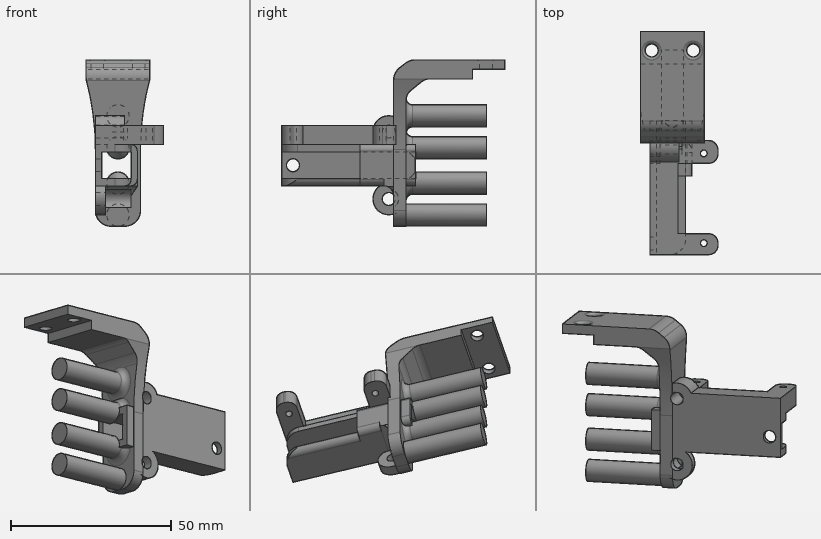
import cadquery as cq
import math


plate_width = 20.0
total_length = 69.7
total_height = 52.0
plate_thickness = 6.0
lip_thickness = 3.0
lip_length = 10.1
wall_front = 34.9
wall_thickness = 4.0
wall_width = 14.15
wall_corner_radius = 5.0
taper_bottom = 24.05
outer_bend_run = 5.0
outer_bend_drop = 4.0
inner_bend_run = 5.85
inner_bend_drop = 4.75
inner_bend_radius = 4.0
outer_bend_radius = 5.0
screw_spacing = 12.95
screw_inset = 5.9
screw_diameter = 4.0
screw_edge_radius = 1.0

wall_back = wall_front + wall_thickness
plate_bottom = total_height - plate_thickness
center_x = plate_width / 2
wall_left = center_x - wall_width / 2
wall_right = center_x + wall_width / 2

pin_radius = 3.5
pin_end = 63.95
pin_fillet = 2.0
pin_tip_base = 41.9
plain_pin_height = 3.55
top_pin_height = 34.5
middle_pin_heights = (13.5, 24.5)

housing_bottom = 12.7
housing_top = 31.55
housing_left = 3.0
housing_right = 14.15
slab_right = 11.8
side_thickness = 2.0
flange_thickness = 2.3
socket_height = 12.8
flange_corner_radius = 5.0
edge_radius = 2.0
collar_front = 24.5
collar_back = 41.7
collar_right = 16.0
collar_rise = 0.1
root_fillet = 3.0
root_end_rise = 2.8

socket_top = housing_bottom + socket_height
collar_top = socket_top + collar_rise
window_left = housing_left + side_thickness
window_bottom = housing_bottom + flange_thickness
window_height = socket_height - 2 * flange_thickness
window_center = housing_bottom + socket_height / 2

arm_right = 24.25
front_arm = (0, 6.6)
rear_arm = (28.5, 35.7)
arm_corner_radius = 3.0
arm_hole_diameter = 2.0
arm_hole_x = 19.8
arm_hole_ys = (3.6, 31.6)

ear_y = 33.45
ear_radius = 4.95
ear_spacing = 21.05
lower_ear_width = 3.15
upper_ear_width = 9.0
cross_hole_diameter = 4.0
upper_hole_depth = 10.0
bore_radius = 3.1
front_hole_y = 3.55

lower_ear_z = window_center - ear_spacing / 2
upper_ear_z = window_center + ear_spacing / 2


def box(x_range, y_range, z_range):
    """Axis-aligned box between the given limits."""
    x, y, z = x_range[0], y_range[0], z_range[0]
    size = (x_range[1] - x, y_range[1] - y, z_range[1] - z)
    return cq.Workplane("XY").box(*size, centered=False).translate((x, y, z))


def cross_cylinder(y, z, radius, x_start, x_end):
    """Cylinder along X."""
    plane = cq.Workplane("YZ", origin=(x_start, 0, 0))
    return plane.center(y, z).circle(radius).extrude(x_end - x_start)


def mounting_bracket():
    """Stepped plate bent down into a wall whose sides curve in towards its rounded foot."""
    lip_front = total_length - lip_length
    outer_corners = [
        (wall_front, total_height - outer_bend_drop),
        (wall_front + outer_bend_run, total_height),
    ]
    inner_corners = [
        (wall_back + inner_bend_run, plate_bottom),
        (wall_back, plate_bottom - inner_bend_drop),
    ]
    side = (
        cq.Workplane("YZ")
        .moveTo(wall_front, 0)
        .lineTo(*outer_corners[0])
        .lineTo(*outer_corners[1])
        .lineTo(total_length, total_height)
        .lineTo(total_length, total_height - lip_thickness)
        .lineTo(lip_front, total_height - lip_thickness)
        .lineTo(lip_front, plate_bottom)
        .lineTo(*inner_corners[0])
        .lineTo(*inner_corners[1])
        .lineTo(wall_back, 0)
        .close()
        .extrude(plate_width)
    )
    for corners, radius in ((outer_corners, outer_bend_radius), (inner_corners, inner_bend_radius)):
        for y, z in corners:
            bend_edge = cq.NearestToPointSelector((center_x, y, z))
            side = side.edges("|X").edges(bend_edge).fillet(radius)

    taper_height = plate_bottom - taper_bottom
    taper_radius = (taper_height**2 + wall_left**2) / (2 * wall_left)
    middle_rise = taper_height / 2
    middle_inset = taper_radius - math.sqrt(taper_radius**2 - middle_rise**2)
    taper_middle = taper_bottom + middle_rise
    front = (
        cq.Workplane("XZ")
        .moveTo(wall_left, 0)
        .lineTo(wall_left, taper_bottom)
        .threePointArc((wall_left - middle_inset, taper_middle), (0, plate_bottom))
        .lineTo(0, total_height)
        .lineTo(plate_width, total_height)
        .lineTo(plate_width, plate_bottom)
        .threePointArc((wall_right + middle_inset, taper_middle), (wall_right, taper_bottom))
        .lineTo(wall_right, 0)
        .close()
        .extrude(-total_length)
        .edges("|Y and <Z")
        .fillet(wall_corner_radius)
    )
    bracket = side.intersect(front)

    drilled = (
        bracket.faces(">Z")
        .workplane(origin=(center_x, total_length - screw_inset, total_height))
        .pushPoints([(-screw_spacing / 2, 0), (screw_spacing / 2, 0)])
        .hole(screw_diameter)
    )
    return drilled.faces(">Z").edges("%CIRCLE").fillet(screw_edge_radius)


def pin(z, base_fillet):
    """Round pin along Y; a base fillet of zero leaves the root sharp."""
    wall_middle = wall_front + wall_thickness / 2
    profile = cq.Workplane("XY").moveTo(0, wall_middle)
    if base_fillet:
        outer = pin_radius + base_fillet
        bulge = base_fillet * (1 - math.sqrt(0.5))
        profile = (
            profile.lineTo(outer, wall_middle)
            .lineTo(outer, wall_back)
            .threePointArc(
                (pin_radius + bulge, wall_back + bulge),
                (pin_radius, wall_back + base_fillet),
            )
        )
    else:
        profile = profile.lineTo(pin_radius, wall_middle)
    profile = profile.lineTo(pin_radius, pin_end).lineTo(0, pin_end).close()
    return profile.revolve(360, (0, 0, 0), (0, 1, 0)).translate((center_x, 0, z))


def housing():
    """Channel-shaped housing with a thick roof, two flanges and a closed collar at the wall."""
    block = box((housing_left, housing_right), (0, wall_back), (housing_bottom, socket_top))
    round_front = block.edges("|Z and >X and <Y").fillet(flange_corner_radius)
    round_below = block.edges("|Y and >X and <Z").fillet(edge_radius)
    socket = round_front.intersect(round_below)
    roof = box((housing_left, slab_right), (0, wall_back), (socket_top, housing_top))
    collar = box((housing_left, collar_right), (collar_front, collar_back), (housing_bottom, collar_top))
    collar = collar.edges("|Y and >X").fillet(edge_radius)
    return socket.union(roof).union(collar)


def arm(y_range):
    """Arm reaching to +X with a rounded end."""
    body = box((housing_left, arm_right), y_range, (socket_top, housing_top))
    return body.edges("|Z and >X").fillet(arm_corner_radius)


def root():
    """Concave fillet under the housing where it meets the wall, sloping up at its right end."""
    bend = root_fillet * (1 - math.sqrt(0.5))
    foot = housing_bottom - root_fillet
    wedge = (
        cq.Workplane("YZ", origin=(housing_left, 0, 0))
        .moveTo(wall_front - root_fillet, housing_bottom)
        .threePointArc((wall_front - bend, housing_bottom - bend), (wall_front, foot))
        .lineTo(wall_back, foot)
        .lineTo(wall_back, housing_bottom + edge_radius)
        .lineTo(wall_front - root_fillet, housing_bottom + edge_radius)
        .close()
        .extrude(collar_right - housing_left)
    )
    outline = (
        cq.Workplane("XZ", origin=(0, wall_front - root_fillet, 0))
        .moveTo(housing_left, foot)
        .lineTo(housing_right, foot)
        .lineTo(collar_right, foot + root_end_rise)
        .lineTo(collar_right, housing_bottom + edge_radius)
        .lineTo(housing_left, housing_bottom + edge_radius)
        .close()
        .extrude(-(root_fillet + wall_thickness))
    )
    return wedge.intersect(outline)


body = mounting_bracket().union(pin(plain_pin_height, 0))
for pin_height in (*middle_pin_heights, top_pin_height):
    body = body.union(pin(pin_height, pin_fillet))
body = body.union(housing()).union(arm(front_arm)).union(arm(rear_arm)).union(root())

lower_ear_right = housing_left + lower_ear_width
upper_ear_right = housing_left + upper_ear_width
body = body.cut(cross_cylinder(ear_y, lower_ear_z, bore_radius, lower_ear_right, housing_right))
body = body.union(cross_cylinder(ear_y, lower_ear_z, ear_radius, housing_left, lower_ear_right))
body = body.union(cross_cylinder(ear_y, upper_ear_z, ear_radius, housing_left, upper_ear_right))

window_top = window_bottom + window_height
body = body.cut(box((window_left, housing_right), (0, pin_tip_base), (window_bottom, window_top)))

tip_axis = cq.Vector(0, -1, 0)
for pin_height in middle_pin_heights:
    tip_origin = cq.Vector(center_x, pin_tip_base, pin_height)
    tip = cq.Solid.makeCone(pin_radius, 0, pin_radius, tip_origin, tip_axis)
    body = body.union(cq.Workplane(tip))

cross_hole_radius = cross_hole_diameter / 2
body = body.cut(cross_cylinder(ear_y, lower_ear_z, cross_hole_radius, 0, lower_ear_right))
body = body.cut(cross_cylinder(ear_y, upper_ear_z, cross_hole_radius, 0, housing_left + upper_hole_depth))
body = body.cut(cross_cylinder(front_hole_y, window_center, cross_hole_radius, 0, window_left))

for hole_y in arm_hole_ys:
    pivot = cq.Workplane("XY", origin=(arm_hole_x, hole_y, socket_top)).circle(arm_hole_diameter / 2)
    body = body.cut(pivot.extrude(housing_top - socket_top))

result = body